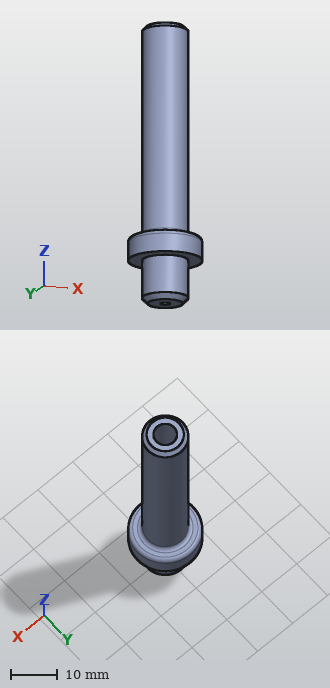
import cadquery as cq
import math

total_height = 61.5
shaft_radius = 5.0
flange_radius = 8.0
flange_bottom = 9.55
flange_top = 14.5
flange_edge_radius = 1.0
root_fillet_radius = 1.0
top_chamfer = 1.0
bottom_chamfer = 1.2
bore_radius = 2.5
through_hole_radius = 1.0
bore_depth = 43.05
drill_tip_angle = 140.0


def make_body():
    """Revolve the spigot, flange and shaft about the Z axis."""
    profile = (
        cq.Workplane("XZ")
        .lineTo(shaft_radius - bottom_chamfer, 0)
        .lineTo(shaft_radius, bottom_chamfer)
        .lineTo(shaft_radius, flange_bottom)
        .lineTo(flange_radius, flange_bottom)
        .lineTo(flange_radius, flange_top - flange_edge_radius)
        .radiusArc((flange_radius - flange_edge_radius, flange_top), -flange_edge_radius)
        .lineTo(shaft_radius + root_fillet_radius, flange_top)
        .radiusArc((shaft_radius, flange_top + root_fillet_radius), root_fillet_radius)
        .lineTo(shaft_radius, total_height - top_chamfer)
        .lineTo(shaft_radius - top_chamfer, total_height)
        .lineTo(0, total_height)
        .close()
    )
    return profile.revolve(360, (0, 0, 0), (0, 1, 0))


def make_bore():
    """Revolve the wide upper bore, its conical drill tip and the narrow through hole."""
    tip_height = (bore_radius - through_hole_radius) / math.tan(math.radians(drill_tip_angle / 2))
    bore_floor = total_height - bore_depth
    profile = (
        cq.Workplane("XZ")
        .lineTo(through_hole_radius, 0)
        .lineTo(through_hole_radius, bore_floor - tip_height)
        .lineTo(bore_radius, bore_floor)
        .lineTo(bore_radius, total_height)
        .lineTo(0, total_height)
        .close()
    )
    return profile.revolve(360, (0, 0, 0), (0, 1, 0))


result = make_body().cut(make_bore())